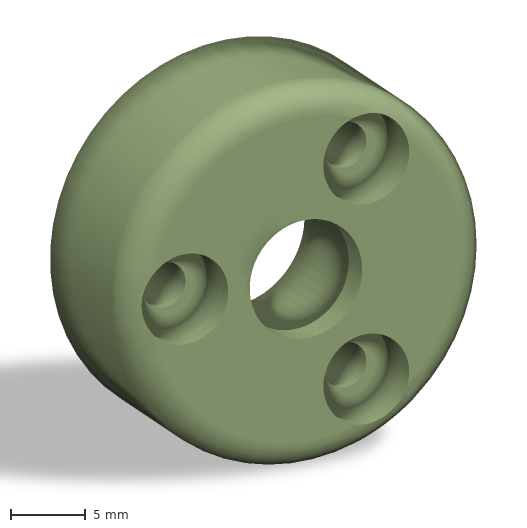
import cadquery as cq
import math

outer_diameter = 27.0
thickness = 11.2
rim_fillet = 2.0

bore_diameter = 11.0
lip_diameter = 8.4
lip_thickness = 2.0

screw_count = 3
screw_circle_radius = outer_diameter / 3
screw_diameter = 3.2
head_diameter = 6.4
head_depth = 3.2


def cylinder(diameter, x_start, length, y=0, z=0):
    """Cylinder along +X, starting at x_start."""
    return cq.Workplane("YZ", origin=(x_start, y, z)).circle(diameter / 2).extrude(length)


body = cylinder(outer_diameter, 0, thickness).faces(">X").edges().fillet(rim_fillet)

body = body.cut(cylinder(lip_diameter, 0, thickness))
body = body.cut(cylinder(bore_diameter, 0, thickness - lip_thickness))

for index in range(screw_count):
    angle = math.pi + index * 2 * math.pi / screw_count
    y = screw_circle_radius * math.cos(angle)
    z = screw_circle_radius * math.sin(angle)
    body = body.cut(cylinder(screw_diameter, 0, thickness, y, z))
    body = body.cut(cylinder(head_diameter, thickness - head_depth, head_depth, y, z))

result = body